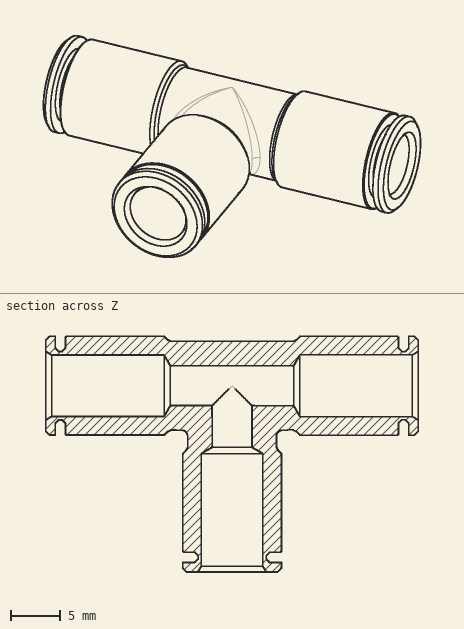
import cadquery as cq
import math

run_length = 37.6
branch_length = 18.8
outer_radius = 10.0 / 2
pipe_radius = 9.0 / 2

collar_width = 0.98
collar_chamfer = 0.4
neck_radius = 6.9 / 2
neck_flare = 0.35
mouth_chamfer = 0.38
mouth_chamfer_depth = 0.6

body_start = 2.0
body_end_edge = 11.95
body_edge_chamfer = 0.1
shoulder_chamfer = 0.35
shoulder_blend = 0.35
crotch_fillet = 0.6

socket_radius = 6.15 / 2
passage_radius = 4.0 / 2
socket_depth = body_end_edge
seat_angle = 60
seat_depth = (socket_radius - passage_radius) / math.tan(math.radians(seat_angle))
passage_start = socket_depth + seat_depth


def revolve_outline(outline):
    """Revolve an outline of (radius, distance along the port) into a port along +Z."""
    return outline.close().revolve(360, (0, 0, 0), (0, 1, 0)).rotate((0, 0, 0), (1, 0, 0), 90)


def port_shell(port_length):
    """Solid collar, neck, body and shoulder of a port that points along +Z."""
    def station(depth):
        return port_length - depth

    blend_start = body_end_edge + shoulder_chamfer
    blend_end = blend_start + shoulder_blend
    outline = (
        cq.Workplane("XY")
        .moveTo(0, station(0))
        .lineTo(outer_radius - collar_chamfer, station(0))
        .lineTo(outer_radius, station(collar_chamfer))
        .lineTo(outer_radius, station(collar_width))
        .lineTo(neck_radius + neck_flare, station(collar_width))
        .lineTo(neck_radius, station(collar_width + neck_flare))
        .lineTo(neck_radius, station(body_start - neck_flare))
        .lineTo(neck_radius + neck_flare, station(body_start))
        .lineTo(outer_radius - body_edge_chamfer, station(body_start))
        .lineTo(outer_radius, station(body_start + body_edge_chamfer))
        .lineTo(outer_radius, station(body_end_edge))
        .lineTo(outer_radius - shoulder_chamfer, station(blend_start))
        .lineTo(pipe_radius, station(blend_end))
        .lineTo(0, station(blend_end))
    )
    return revolve_outline(outline)


def port_cavity(port_length):
    """Mouth chamfer, tube socket, conical seat and passage of a port along +Z."""
    outline = (
        cq.Workplane("XY")
        .lineTo(passage_radius, 0)
        .lineTo(passage_radius, port_length - passage_start)
        .lineTo(socket_radius, port_length - socket_depth)
        .lineTo(socket_radius, port_length - mouth_chamfer_depth)
        .lineTo(socket_radius + mouth_chamfer, port_length)
        .lineTo(0, port_length)
    )
    return revolve_outline(outline)


def at_each_port(make_port):
    """Union of one port shape on -X, +X and -Y."""
    run_port = make_port(run_length / 2)
    left = run_port.rotate((0, 0, 0), (0, 1, 0), -90)
    right = run_port.rotate((0, 0, 0), (0, 1, 0), 90)
    branch = make_port(branch_length).rotate((0, 0, 0), (1, 0, 0), 90)
    return left.union(right).union(branch)


def tee_pipes():
    """Plain run and branch pipes, blended along their crotch."""
    run_half_length = run_length / 2 - body_end_edge
    branch_reach = branch_length - body_end_edge
    run = cq.Workplane("YZ").circle(pipe_radius).extrude(run_half_length, both=True)
    branch = cq.Workplane("XZ").circle(pipe_radius).extrude(branch_reach)
    pipes = run.union(branch)
    crotch_size = pipe_radius + crotch_fillet
    crotch = cq.selectors.BoxSelector(
        (-crotch_size, -crotch_size, -crotch_size), (crotch_size, -0.38, crotch_size), boundingbox=False
    )
    return pipes.edges(crotch).fillet(crotch_fillet)


result = tee_pipes().union(at_each_port(port_shell)).cut(at_each_port(port_cavity))